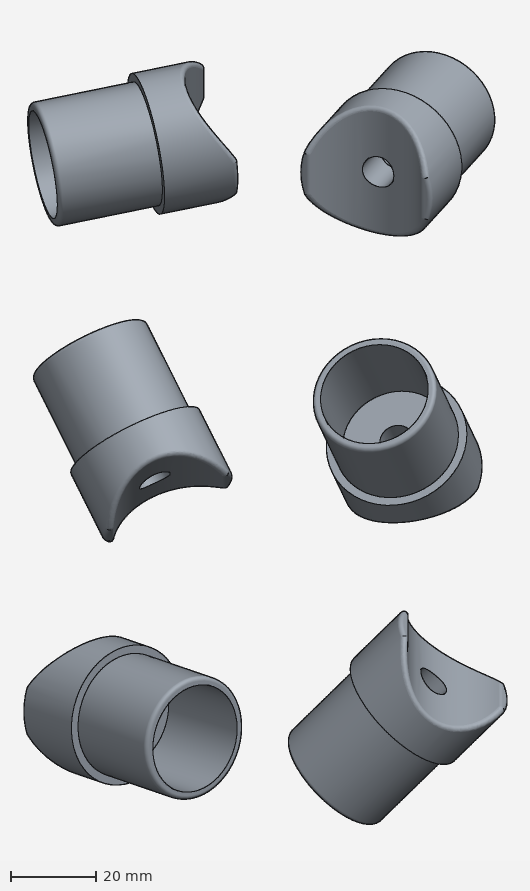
import cadquery as cq

total_length = 43.0
collar_radius = 16.85
spigot_radius = 14.85
spigot_length = 25.0
bore_radius = 12.9
bore_depth = spigot_length
screw_hole_radius = 4.0
saddle_radius = 17.0
saddle_floor = 35.0
edge_radius = 1.0

open_end = -total_length / 2


def cylinder_along_y(radius, start, length):
    """Cylinder on the part axis, with start measured from the open end."""
    base = cq.Workplane("XZ", origin=(0, open_end + start, 0))
    return base.circle(radius).extrude(-length)


def saddle_cutter():
    """Cross pipe along Z that forms the saddle."""
    centre_y = open_end + saddle_floor + saddle_radius
    return (
        cq.Workplane("XY")
        .center(0, centre_y)
        .circle(saddle_radius)
        .extrude(collar_radius, both=True)
    )


collar = cylinder_along_y(collar_radius, spigot_length, total_length - spigot_length)
collar = collar.cut(saddle_cutter())
rim_edges = collar.edges(cq.selectors.BoxSelector(
    (-collar_radius, open_end + spigot_length + edge_radius, -collar_radius),
    (collar_radius, open_end + total_length + edge_radius, collar_radius),
))
collar = rim_edges.fillet(edge_radius)

spigot = cylinder_along_y(spigot_radius, 0, spigot_length)
spigot = spigot.faces("<Y").edges().fillet(edge_radius)

result = (
    collar.union(spigot)
    .cut(cylinder_along_y(bore_radius, 0, bore_depth))
    .cut(cylinder_along_y(screw_hole_radius, 0, total_length))
)